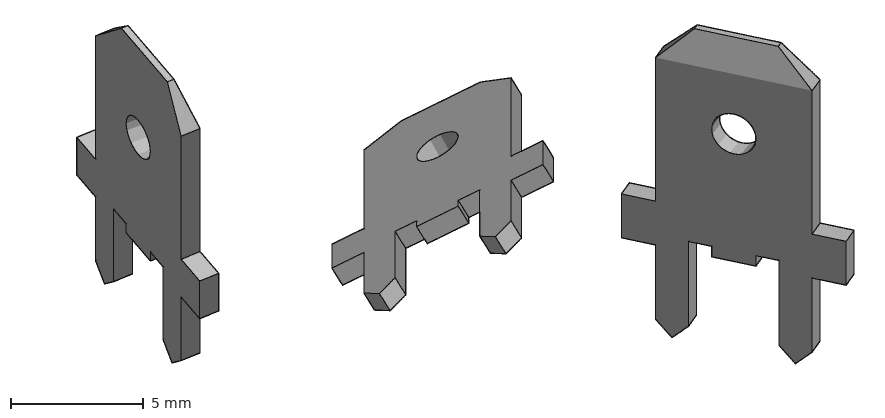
import cadquery as cq

height = 13.89
thickness = 0.83
shoulder_width = 9.08
shoulder_bottom = 4.0
shoulder_top = 5.97

blade_width = 6.33
taper_start = 12.4
tip_width = 3.39
tip_thickness = 0.29
hole_diameter = 1.78
hole_height = 9.72

pin_spacing = 4.99
pin_width = blade_width - pin_spacing
pin_point_height = pin_width / 2

web_bottom = 4.47
step_width = 1.79


def plate():
    """Flat outline, mirrored about the centre plane and extruded along Y."""
    pin_inner = pin_spacing / 2 - pin_width / 2
    right_half = [
        (0, shoulder_bottom),
        (step_width / 2, shoulder_bottom),
        (step_width / 2, web_bottom),
        (pin_inner, web_bottom),
        (pin_inner, pin_point_height),
        (pin_spacing / 2, 0),
        (blade_width / 2, pin_point_height),
        (blade_width / 2, shoulder_bottom),
        (shoulder_width / 2, shoulder_bottom),
        (shoulder_width / 2, shoulder_top),
        (blade_width / 2, shoulder_top),
        (blade_width / 2, taper_start),
        (tip_width / 2, height),
        (0, height),
    ]
    left_half = [(-x, z) for x, z in reversed(right_half[1:-1])]
    outline = cq.Workplane("XZ").polyline(right_half + left_half).close()
    return outline.extrude(thickness / 2, both=True)


def taper_envelope():
    """Side profile that thins the plate towards the top of the blade."""
    profile = [
        (-thickness / 2, 0),
        (thickness / 2, 0),
        (thickness / 2, taper_start),
        (tip_thickness / 2, height),
        (-tip_thickness / 2, height),
        (-thickness / 2, taper_start),
    ]
    return cq.Workplane("YZ").polyline(profile).close().extrude(shoulder_width, both=True)


def blade_hole():
    """Round hole through the blade."""
    hole = cq.Workplane("XZ").center(0, hole_height).circle(hole_diameter / 2)
    return hole.extrude(thickness, both=True)


result = plate().intersect(taper_envelope()).cut(blade_hole())